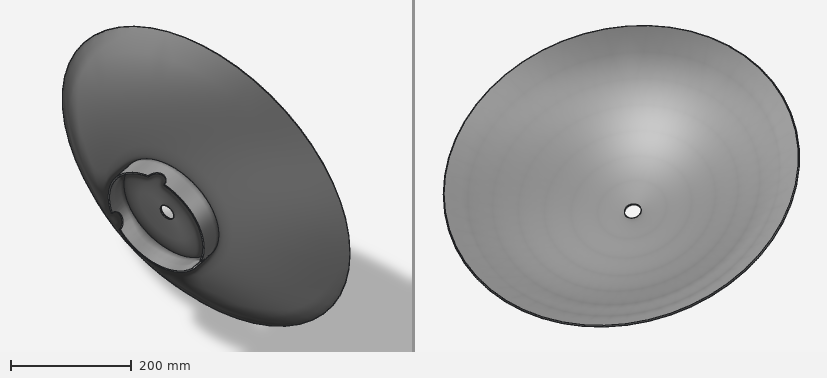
import cadquery as cq
import math

rim_radius = 300.0
sphere_radius = 474.0
shell_thickness = 3.0
centre_hole_diameter = 28.0

ring_outer_radius = 100.0
ring_wall = 3.0
overall_depth = 138.5
notch_radius = 16.0
notch_count = 3
first_notch_angle = 90.0

inner_sphere_radius = sphere_radius - shell_thickness
rim_angle = math.asin(rim_radius / sphere_radius)
sphere_centre_y = inner_sphere_radius * math.cos(rim_angle)
ring_front_y = -overall_depth


def sphere_point(radius, angle):
    """Point (distance from axis, Y) on a sphere, at an angle from the -Y pole."""
    return radius * math.sin(angle), sphere_centre_y - radius * math.cos(angle)


def cylinder_along_y(radius, start_y, end_y):
    return cq.Workplane("XZ", origin=(0, start_y, 0)).circle(radius).extrude(start_y - end_y)


def make_dish():
    shell = (
        cq.Workplane("XY")
        .moveTo(*sphere_point(sphere_radius, 0))
        .threePointArc(sphere_point(sphere_radius, rim_angle / 2), sphere_point(sphere_radius, rim_angle))
        .lineTo(*sphere_point(inner_sphere_radius, rim_angle))
        .threePointArc(
            sphere_point(inner_sphere_radius, rim_angle / 2), sphere_point(inner_sphere_radius, 0)
        )
        .close()
        .revolve(360, (0, 0, 0), (0, 1, 0))
    )
    return shell.cut(cylinder_along_y(centre_hole_diameter / 2, 0, -overall_depth))


def make_notch_cutter(angle):
    """Round bar pointing outward from the axis, centred on the free edge of the ring."""
    direction = cq.Vector(math.cos(math.radians(angle)), 0, math.sin(math.radians(angle)))
    start = cq.Vector(0, ring_front_y, 0)
    return cq.Solid.makeCylinder(notch_radius, 2 * ring_outer_radius, start, direction)


def make_mounting_ring():
    ring_inner_radius = ring_outer_radius - ring_wall
    ring = cylinder_along_y(ring_outer_radius, 0, ring_front_y)
    ring = ring.cut(cylinder_along_y(ring_inner_radius, 0, ring_front_y))
    ring = ring.cut(cq.Workplane("XY").sphere(sphere_radius).translate((0, sphere_centre_y, 0)))
    for index in range(notch_count):
        ring = ring.cut(cq.Workplane(make_notch_cutter(first_notch_angle + index * 360 / notch_count)))
    return ring


dish = make_dish()
mounting_ring = make_mounting_ring()
result = cq.Compound.makeCompound([dish.solids().val(), mounting_ring.solids().val()])